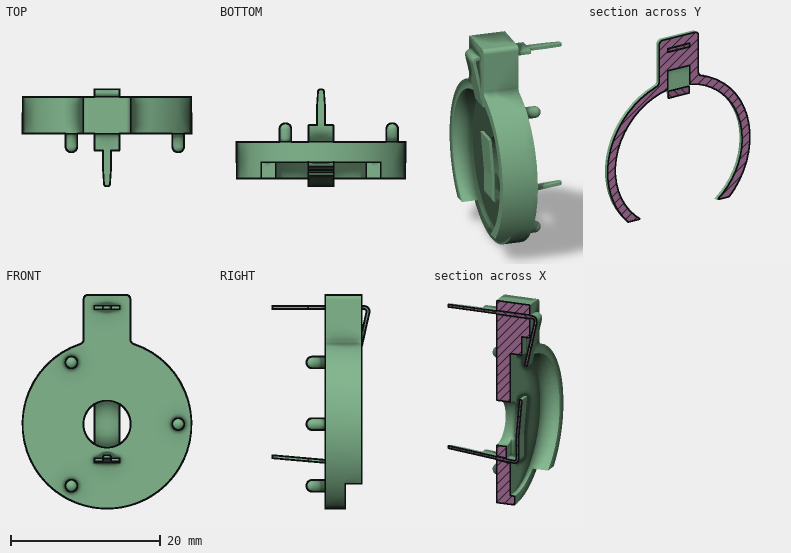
import math

import cadquery as cq


disc_diameter = 22.7
disc_radius = disc_diameter / 2
housing_height = 28.7
housing_depth = 4.95
tab_width = 6.3
tab_top = housing_height - disc_radius
tab_fillet = 0.6
centre_hole_radius = 3.15

cavity_radius = 10.05
floor_thickness = 2.1
lip_height = 2.7
lip_half_angle = 45.0
lip_top = -disc_radius * math.cos(math.radians(lip_half_angle))

peg_count = 3
peg_radius = 0.8
peg_length = 2.53
peg_circle_radius = 9.55

sheet_thickness = 0.43
contact_width = 3.4
pin_length = 7.1
shoulder_length = 2.3
shoulder_fillet = 0.17
pin_width = 1.12
taper_start = 4.65
tip_start = 6.77
tip_width = 0.83
blank_length = 8.6
bend_radius = 0.52

upper_pin_z = 15.65
upper_overhang = 1.03
upper_spring_angle = 12.7
upper_spring_end_z = 8.6
upper_slot_top = 12.63
upper_slot_floor = 3.73

lower_pin_z = -5.0
lower_pin_angle = 5.0
lower_spring_y = 2.87
lower_kink_z = -1.6
lower_spring_end_z = 3.73
lower_slot_depth = 0.63


def make_disc_with_tab():
    """Disc with the square tab on top, both of full depth."""
    disc = cq.Workplane("XZ").circle(disc_radius).extrude(-housing_depth)
    tab = cq.Workplane("XY").box(tab_width, housing_depth, tab_top, centered=(True, False, False))
    body = disc.union(tab)
    body = body.edges("|Y").edges(">Z").fillet(tab_fillet)
    root_z = math.sqrt(disc_radius**2 - (tab_width / 2) ** 2)
    for side in (-1, 1):
        root_point = (side * tab_width / 2, housing_depth / 2, root_z)
        body = body.edges(cq.selectors.NearestToPointSelector(root_point)).fillet(tab_fillet)
    return body


def make_pegs():
    """Round-ended pegs evenly spaced on the mounting face."""
    shank = cq.Workplane("XZ").circle(peg_radius).extrude(peg_length - peg_radius)
    dome = cq.Workplane("XY").sphere(peg_radius).translate((0, peg_radius - peg_length, 0))
    dome = dome.intersect(cq.Workplane("XZ").rect(housing_depth, housing_depth).extrude(peg_length))
    peg = shank.union(dome).translate((peg_circle_radius, 0, 0))
    pegs = cq.Workplane("XZ")
    for index in range(peg_count):
        angle = index * 360 / peg_count
        pegs = pegs.add(peg.rotate((0, 0, 0), (0, 1, 0), angle))
    return pegs.combine()


def back_pocket(y_floor, z_bottom, z_top, width):
    """Block reaching from y_floor out past the back of the housing."""
    block = cq.Workplane("XY").box(
        width, housing_depth, z_top - z_bottom, centered=(True, False, False)
    )
    return block.translate((0, y_floor, z_bottom))


def make_housing(contacts):
    body = make_disc_with_tab().union(make_pegs())

    cavity_floor = cq.Workplane("XZ", origin=(0, floor_thickness, 0))
    cavity = cavity_floor.circle(cavity_radius).extrude(-housing_depth)
    hole = cq.Workplane("XZ").circle(centre_hole_radius).extrude(-housing_depth)
    body = body.cut(cavity).cut(hole)

    body = body.cut(back_pocket(lip_height, -disc_radius, lip_top, 2 * disc_radius))

    body = body.cut(back_pocket(upper_slot_floor, 0, upper_slot_top, contact_width))
    lower_slot_floor = floor_thickness - lower_slot_depth
    body = body.cut(back_pocket(lower_slot_floor, lower_pin_z - sheet_thickness, 0, contact_width))

    for contact in contacts:
        body = body.cut(contact)
    return body


def make_pin_plan():
    """Outline of a contact in X and Y: full width inside, stepped down to a tapered pin."""
    outline = [
        (contact_width / 2, 2 * housing_depth),
        (contact_width / 2, -shoulder_length),
        (pin_width / 2, -shoulder_length),
        (pin_width / 2, -taper_start),
        (tip_width / 2, -tip_start),
    ]
    mirrored = [(-x, y) for x, y in reversed(outline)]
    plan = (
        cq.Workplane("XY", origin=(0, 0, -disc_radius))
        .polyline(outline)
        .threePointArc((0, -pin_length), mirrored[0])
        .polyline(mirrored, includeCurrent=False)
        .close()
        .extrude(housing_height)
    )
    for side in (-1, 1):
        corner = (side * contact_width / 2, -shoulder_length, 0)
        plan = plan.edges(cq.selectors.NearestToPointSelector(corner)).fillet(shoulder_fillet)
    return plan


def make_contact(middle_points):
    """Bent strip following (y, z) points along its middle, rounded at the first bend."""
    path = cq.Wire.makePolygon([cq.Vector(0, y, z) for y, z in middle_points])
    bend = cq.selectors.NearestToPointSelector((0, *middle_points[1])).filter(path.Vertices())
    path = path.fillet(bend_radius, bend)
    start_y, start_z = middle_points[0]
    section = cq.Workplane("XZ", origin=(0, start_y, start_z)).rect(contact_width, sheet_thickness)
    strip = section.sweep(cq.Workplane(path), transition="right")
    return strip.intersect(make_pin_plan())


def make_upper_contact():
    spring_slope = math.tan(math.radians(upper_spring_angle))
    outer_radius = bend_radius + sheet_thickness / 2
    bend_centre_y = housing_depth + upper_overhang - outer_radius
    bend_y = bend_centre_y + bend_radius * math.tan(math.radians(45 + upper_spring_angle / 2))
    end_y = bend_y - (upper_pin_z - upper_spring_end_z) * spring_slope
    return make_contact(
        [
            (-blank_length, upper_pin_z),
            (bend_y, upper_pin_z),
            (end_y, upper_spring_end_z),
        ]
    )


def make_lower_contact():
    pin_slope = math.tan(math.radians(lower_pin_angle))
    start_y = -blank_length
    bend_y = lower_spring_y + sheet_thickness / 2
    end_y = bend_y + (lower_spring_end_z - lower_kink_z) * pin_slope
    return make_contact(
        [
            (start_y, lower_pin_z - start_y * pin_slope),
            (bend_y, lower_pin_z - bend_y * pin_slope),
            (bend_y, lower_kink_z),
            (end_y, lower_spring_end_z),
        ]
    )


upper_contact = make_upper_contact()
lower_contact = make_lower_contact()
housing = make_housing([upper_contact, lower_contact])

result = cq.Compound.makeCompound([housing.val(), upper_contact.val(), lower_contact.val()])